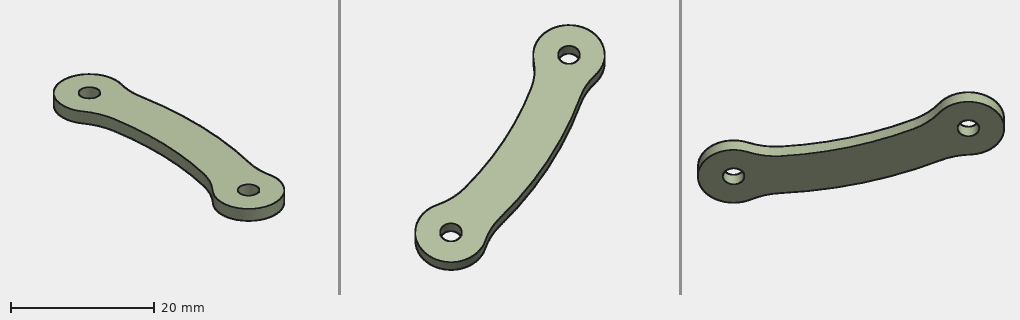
import cadquery as cq
import math

THICKNESS = 2.0
HOLE_SPACING = 34.0
HOLE_DIAMETER = 3.0
END_RADIUS = 5.0
BAR_WIDTH = 7.0
INNER_CREST_Y = -1.0
INNER_ARC_RADIUS = 50.0
BLEND_RADIUS = 10.0

half_spacing = HOLE_SPACING / 2
outer_arc_radius = INNER_ARC_RADIUS + BAR_WIDTH
outer_crest_y = INNER_CREST_Y + BAR_WIDTH
arc_center = (0.0, INNER_CREST_Y - INNER_ARC_RADIUS)
end_center = (half_spacing, 0.0)


def point_toward(start, target, distance):
    """Point at a given distance from start, in the direction of target."""
    span = math.dist(start, target)
    return tuple(s + (t - s) * distance / span for s, t in zip(start, target))


def circle_crossing(center_a, radius_a, center_b, radius_b):
    """Crossing of two circles that lies left of the line from center_a to center_b."""
    span = math.dist(center_a, center_b)
    along = (radius_a**2 - radius_b**2 + span**2) / (2 * span)
    offset = math.sqrt(radius_a**2 - along**2)
    ux = (center_b[0] - center_a[0]) / span
    uy = (center_b[1] - center_a[1]) / span
    return (
        center_a[0] + along * ux - offset * uy,
        center_a[1] + along * uy + offset * ux,
    )


def blend_arc(edge_radius, blend_center_radius):
    """Start (on the bar edge), middle and end (on the round end) of a right-hand blend."""
    center = circle_crossing(
        arc_center, blend_center_radius, end_center, END_RADIUS + BLEND_RADIUS
    )
    start = point_toward(arc_center, center, edge_radius)
    end = point_toward(end_center, center, END_RADIUS)
    chord_middle = ((start[0] + end[0]) / 2, (start[1] + end[1]) / 2)
    return start, point_toward(center, chord_middle, BLEND_RADIUS), end


def mirrored(point):
    """Matching point on the left half of the link."""
    return (-point[0], point[1])


def link_body():
    """Curved bar running smoothly into a round end on each side."""
    top_start, top_middle, top_end = blend_arc(outer_arc_radius, outer_arc_radius + BLEND_RADIUS)
    low_start, low_middle, low_end = blend_arc(INNER_ARC_RADIUS, INNER_ARC_RADIUS - BLEND_RADIUS)
    tip = (half_spacing + END_RADIUS, 0.0)
    return (
        cq.Workplane("XY")
        .moveTo(*mirrored(top_start))
        .threePointArc((0.0, outer_crest_y), top_start)
        .threePointArc(top_middle, top_end)
        .threePointArc(tip, low_end)
        .threePointArc(low_middle, low_start)
        .threePointArc((0.0, INNER_CREST_Y), mirrored(low_start))
        .threePointArc(mirrored(low_middle), mirrored(low_end))
        .threePointArc(mirrored(tip), mirrored(top_end))
        .threePointArc(mirrored(top_middle), mirrored(top_start))
        .close()
        .extrude(THICKNESS)
    )


def pivot_holes():
    """Cylinders for the through hole at the centre of each round end."""
    centers = [(-half_spacing, 0.0), end_center]
    return cq.Workplane("XY").pushPoints(centers).circle(HOLE_DIAMETER / 2).extrude(THICKNESS)


result = link_body().cut(pivot_holes())